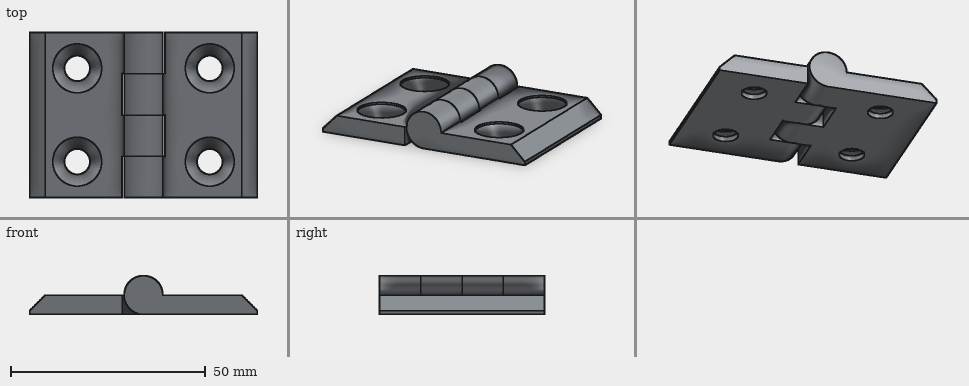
import cadquery as cq

hinge_width = 58.5
hinge_length = 42.5
barrel_diameter = 10.0
barrel_radius = barrel_diameter / 2
leaf_thickness = barrel_radius
half_width = hinge_width / 2

knuckle_count = 4
knuckle_length = hinge_length / knuckle_count
knuckle_clearance = 0.45
plate_inner_x = barrel_radius + knuckle_clearance

edge_height = 1.0
bevel = leaf_thickness - edge_height

screw_x = 17.0
screw_pitch = 24.0
screw_diameter = 6.5
sink_diameter = 12.6
sink_rim_depth = 0.5
sink_cone_depth = (sink_diameter - screw_diameter) / 2


def extrude_along_y(outline, start_y, length):
    """Extrude an XZ outline from start_y towards +Y."""
    return outline.extrude(-length).translate((0, start_y, 0))


def plate():
    """Flat plate of the +X leaf, with its bevelled outer edge."""
    outline = (
        cq.Workplane("XZ")
        .moveTo(plate_inner_x, 0)
        .lineTo(half_width, 0)
        .lineTo(half_width, edge_height)
        .lineTo(half_width - bevel, leaf_thickness)
        .lineTo(plate_inner_x, leaf_thickness)
        .close()
    )
    return extrude_along_y(outline, -hinge_length / 2, hinge_length)


def knuckle(index):
    """Barrel segment with the web that joins it to the plate; index 0 is at the -Y end."""
    start_y = -hinge_length / 2 + index * knuckle_length
    circle = cq.Workplane("XZ").center(0, barrel_radius).circle(barrel_radius)
    web = cq.Workplane("XZ").rect(plate_inner_x, leaf_thickness, centered=False)
    barrel = extrude_along_y(circle, start_y, knuckle_length)
    return barrel.union(extrude_along_y(web, start_y, knuckle_length))


def screw_hole(y):
    """Cutter: through hole, conical sink and a short straight rim at the top."""
    rim_z = leaf_thickness - sink_rim_depth
    cone_z = rim_z - sink_cone_depth
    return (
        cq.Workplane("XZ")
        .moveTo(0, 0)
        .lineTo(screw_diameter / 2, 0)
        .lineTo(screw_diameter / 2, cone_z)
        .lineTo(sink_diameter / 2, rim_z)
        .lineTo(sink_diameter / 2, leaf_thickness)
        .lineTo(0, leaf_thickness)
        .close()
        .revolve(360, (0, 0, 0), (0, 1, 0))
        .translate((screw_x, y, 0))
    )


def leaf():
    """The +X leaf: plate, every second knuckle from the -Y end, and two screw holes."""
    body = plate()
    for index in range(0, knuckle_count, 2):
        body = body.union(knuckle(index))
    for y in (-screw_pitch / 2, screw_pitch / 2):
        body = body.cut(screw_hole(y))
    return body


leaves = [leaf().rotate((0, 0, 0), (0, 0, 1), angle) for angle in (0, 180)]

result = cq.Compound.makeCompound([body.solids().val() for body in leaves])